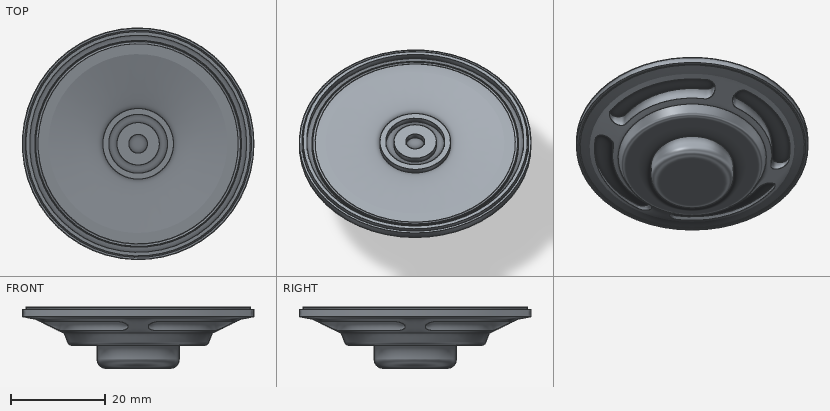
import cadquery as cq
import math


magnet_radius = 17.5 / 2
magnet_edge_fillet = 1.95
seat_bottom_z = 4.9
seat_bottom_radius = 14.75
seat_edge_fillet = 1.1
seat_top_radius = 15.75
seat_top_z = 7.5
cone_top_radius = 21.75
cone_top_z = 10.45
rim_radius = 24.62
rim_bottom_z = 11.0
rim_top_z = 12.55
recess_radius = 24.15
recess_floor_z = 11.05

window_count = 4
window_inner_radius = 16.95
window_outer_radius = 20.8
window_half_angle = 32.5

gasket_outer_radius = 23.85
gasket_inner_radius = 46.15 / 2
gasket_top_z = 13.0
ledge_z = 11.55
plate_radius = 44.0 / 2
plate_top_z = 12.0
groove_outer_radius = 21.75
groove_inner_radius = 21.3
groove_depth = 0.2
dish_outer_radius = 19.0
dish_foot_radius = 15.0 / 2
dish_foot_z = 11.35
collar_inner_radius = 6.25
centre_floor_z = 11.25
hub_radius = 9.0 / 2
hub_hole_radius = 4.0 / 2
hub_top_z = rim_top_z


def cylinder(radius, bottom_z, top_z):
    return cq.Workplane("XY").workplane(offset=bottom_z).circle(radius).extrude(top_z - bottom_z)


def ring(outer_radius, inner_radius, bottom_z, top_z):
    return cylinder(outer_radius, bottom_z, top_z).cut(cylinder(inner_radius, bottom_z, top_z))


def make_window(middle_angle):
    """Curved slot with round ends, centred on the given direction."""
    def at(radius, angle):
        turn = math.radians(middle_angle + angle)
        return (radius * math.cos(turn), radius * math.sin(turn))

    middle_radius = (window_inner_radius + window_outer_radius) / 2
    end_radius = (window_outer_radius - window_inner_radius) / 2
    tip_angle = window_half_angle + math.degrees(end_radius / middle_radius)
    outer_start = at(window_outer_radius, -window_half_angle)
    outer_end = at(window_outer_radius, window_half_angle)
    inner_start = at(window_inner_radius, -window_half_angle)
    inner_end = at(window_inner_radius, window_half_angle)
    return (
        cq.Workplane("XY")
        .workplane(offset=seat_top_z)
        .moveTo(*outer_start)
        .threePointArc(at(window_outer_radius, 0), outer_end)
        .threePointArc(at(middle_radius, tip_angle), inner_end)
        .threePointArc(at(window_inner_radius, 0), inner_start)
        .threePointArc(at(middle_radius, -tip_angle), outer_start)
        .close()
        .extrude(recess_floor_z - seat_top_z)
    )


def make_basket():
    """Stepped conical basket with a round recess on top and the magnet pot below."""
    seat = (
        cq.Workplane("XZ")
        .moveTo(0, seat_bottom_z)
        .lineTo(seat_bottom_radius, seat_bottom_z)
        .lineTo(seat_top_radius, seat_top_z)
        .lineTo(cone_top_radius, cone_top_z)
        .lineTo(rim_radius, rim_bottom_z)
        .lineTo(rim_radius, rim_top_z)
        .lineTo(recess_radius, rim_top_z)
        .lineTo(recess_radius, recess_floor_z)
        .lineTo(0, recess_floor_z)
        .close()
        .revolve(360, (0, 0, 0), (0, 1, 0))
        .faces("<Z").edges().fillet(seat_edge_fillet)
    )
    magnet = cylinder(magnet_radius, 0, seat_bottom_z).faces("<Z").edges().fillet(magnet_edge_fillet)
    basket = seat.union(magnet)
    for index in range(window_count):
        basket = basket.cut(make_window((index + 0.5) * 360 / window_count))
    return basket


def make_diaphragm():
    """Disc resting in the basket recess, with gasket, groove, dish, collar and hub."""
    groove_middle = (groove_outer_radius + groove_inner_radius) / 2
    sheet = (
        cq.Workplane("XZ")
        .moveTo(0, recess_floor_z)
        .lineTo(gasket_outer_radius, recess_floor_z)
        .lineTo(gasket_outer_radius, gasket_top_z)
        .lineTo(gasket_inner_radius, gasket_top_z)
        .lineTo(gasket_inner_radius, ledge_z)
        .lineTo(plate_radius, ledge_z)
        .lineTo(plate_radius, plate_top_z)
        .lineTo(groove_outer_radius, plate_top_z)
        .threePointArc((groove_middle, plate_top_z - groove_depth), (groove_inner_radius, plate_top_z))
        .lineTo(dish_outer_radius, plate_top_z)
        .lineTo(dish_foot_radius, dish_foot_z)
        .lineTo(dish_foot_radius, centre_floor_z)
        .lineTo(0, centre_floor_z)
        .close()
        .revolve(360, (0, 0, 0), (0, 1, 0))
    )
    collar = ring(dish_foot_radius, collar_inner_radius, recess_floor_z, hub_top_z)
    hub = ring(hub_radius, hub_hole_radius, recess_floor_z, hub_top_z)
    return sheet.union(collar).union(hub)


basket = make_basket()
diaphragm = make_diaphragm()

result = cq.Compound.makeCompound([basket.val(), diaphragm.val()])